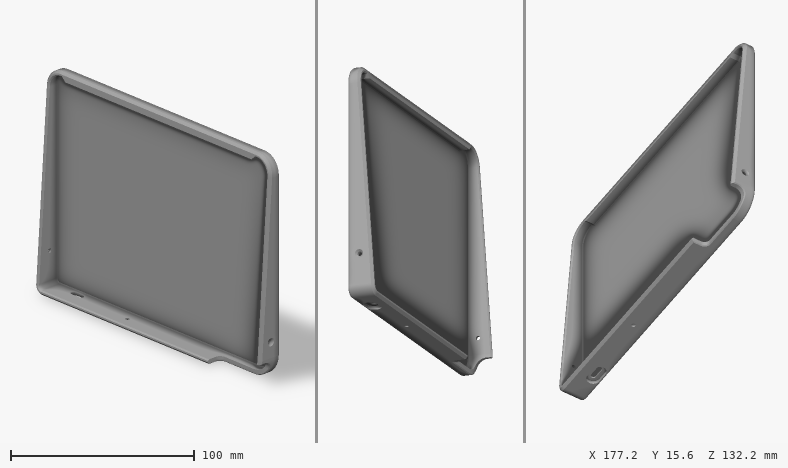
import cadquery as cq
import math

width = 177.2
depth = 15.6
height = 132.2
overlap = 1.8

wall = 3.0
floor = 1.0
back_fillet = 1.5
outer_chamfer = 1.5
rim_chamfer = 0.7
floor_chamfer = 0.5
top_radius = 11.3
bottom_left_radius = 5.5
bottom_right_radius = 14.0
taper = math.tan(math.radians(4.0))

lip_end_gap = 15.5
lip_bottom = 127.2
lip_end_run = 2.1

notch_start = 136.8
notch_height = 11.7
notch_rim = 6.2
notch_bottom_fillet = 3.5
notch_side_fillet = 5.1
notch_chamfer = 0.5

hole_diameter = 2.5
side_hole_sink = 4.8
side_hole_depth = 6.7
side_hole_height = 23.4
bottom_hole_x = 66.0
bottom_hole_depth = 8.3
slot_x = 23.2
slot_depth = 5.1
slot_length = 9.4
slot_width = 3.2
slot_recess_margin = 2.3
slot_skin = 0.9


def outline(inset):
    """Closed XZ outline with its four rounded corners, moved inwards by inset."""
    left = inset
    right = width - inset
    bottom = inset
    top = height - inset
    top_r = top_radius - inset
    left_r = bottom_left_radius - inset
    right_r = bottom_right_radius - inset
    bulge = 1 - math.sqrt(0.5)
    return (
        cq.Workplane("XZ")
        .moveTo(left + left_r, bottom)
        .lineTo(right - right_r, bottom)
        .threePointArc((right - bulge * right_r, bottom + bulge * right_r), (right, bottom + right_r))
        .lineTo(right, top - top_r)
        .threePointArc((right - bulge * top_r, top - bulge * top_r), (right - top_r, top))
        .lineTo(left + top_r, top)
        .threePointArc((left + bulge * top_r, top - bulge * top_r), (left, top - top_r))
        .lineTo(left, bottom + left_r)
        .threePointArc((left + bulge * left_r, bottom + bulge * left_r), (left + left_r, bottom))
        .close()
    )


def front_at(z):
    """Y of the sloped front at height z; the deepest point is on the bottom chamfer."""
    return -depth + taper * (z - outer_chamfer)


def behind_front():
    """Space behind the sloped front plane."""
    low = -overlap
    high = height + overlap
    return (
        cq.Workplane("YZ")
        .moveTo(overlap, low)
        .lineTo(front_at(low), low)
        .lineTo(front_at(high), high)
        .lineTo(overlap, high)
        .close()
        .extrude(width)
    )


def shell():
    body = outline(0).extrude(depth + overlap).intersect(behind_front())
    front = cq.DirectionMinMaxSelector(cq.Vector(0, -1, taper))
    body = body.faces(">Y").edges().fillet(back_fillet)
    body = body.faces(front).chamfer(outer_chamfer)
    pocket = outline(wall).extrude(depth + overlap).translate((0, -floor, 0))
    body = body.cut(pocket)
    return body.faces(front).wires(cq.selectors.LengthNthSelector(0)).chamfer(rim_chamfer)


def lip():
    root = height - (wall + outer_chamfer) / 2
    slope = lip_end_run / (height - wall - lip_bottom)
    root_gap = lip_end_gap - slope * (root - lip_bottom)
    return (
        cq.Workplane("XZ")
        .polyline(
            [
                (lip_end_gap, lip_bottom),
                (width - lip_end_gap, lip_bottom),
                (width - root_gap, root),
                (root_gap, root),
            ]
        )
        .close()
        .extrude(depth)
        .translate((0, -floor / 2, 0))
        .intersect(behind_front())
    )


def notch():
    length = width + overlap - notch_start
    block = (
        cq.Workplane("XY")
        .box(length, depth, notch_height + overlap, centered=False)
        .translate((notch_start, -notch_rim - depth, -overlap))
    )
    block = block.edges(">Y and <X").fillet(notch_bottom_fillet)
    return block.edges(">Y and >Z").fillet(notch_side_fillet)


def side_holes():
    """Countersunk hole through both side walls."""
    sink = (side_hole_sink - hole_diameter) / 2
    half_bore = hole_diameter / 2
    half_sink = side_hole_sink / 2
    return (
        cq.Workplane("XY")
        .polyline(
            [
                (0, 0),
                (0, half_sink),
                (sink, half_bore),
                (width - sink, half_bore),
                (width, half_sink),
                (width, 0),
            ]
        )
        .close()
        .revolve(360, (0, 0, 0), (1, 0, 0))
        .translate((0, -side_hole_depth, side_hole_height))
    )


def bottom_openings():
    length = wall + 2 * overlap
    base = cq.Workplane("XY").workplane(offset=-overlap)
    hole = base.center(bottom_hole_x, -bottom_hole_depth).circle(hole_diameter / 2).extrude(length)
    slot = base.center(slot_x, -slot_depth).slot2D(slot_length, slot_width).extrude(length)
    recess = (
        base.center(slot_x, -slot_depth)
        .slot2D(slot_length + 2 * slot_recess_margin, slot_width + 2 * slot_recess_margin)
        .extrude(overlap + wall - slot_skin)
    )
    return hole.union(slot).union(recess)


def ease_floor(body):
    """Chamfer the corner where the walls and the lip meet the floor."""
    floor_face = body.faces(cq.NearestToPointSelector((width / 2, -floor, height / 2)))
    return floor_face.edges().chamfer(floor_chamfer)


def ease_notch_rim(body):
    """Chamfer the straight and curved outer edge of the low rim left by the notch."""
    straight = ((notch_start + width) / 2, -notch_rim, 0)
    return body.edges(cq.NearestToPointSelector(straight)).chamfer(notch_chamfer)


tray = ease_floor(shell().union(lip()))
tray = ease_notch_rim(tray.cut(notch()))
result = tray.cut(side_holes()).cut(bottom_openings())